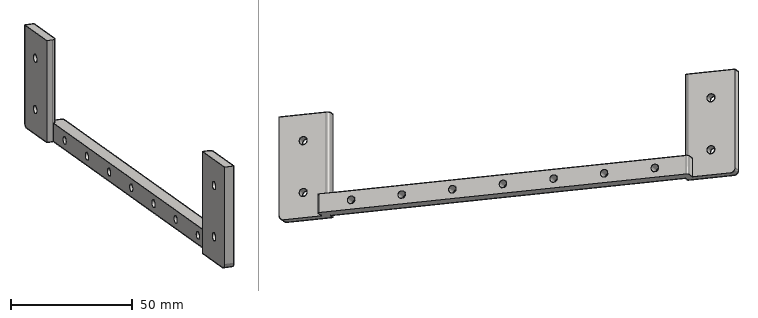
import cadquery as cq

length = 199.8
depth = 9.0
height = 44.2

plate_width = 22.2
plate_thickness = 4.2
plate_corner_radius = 2.0
plate_edge_radius = 1.5
plate_hole_diameter = 3.4
plate_hole_offset = 89.3
plate_lower_hole_height = 10.8

bar_length = 162.5
bar_thickness = 6.0
bar_height = 8.0
bar_corner_radius = 1.0
bar_hole_diameter = 3.2
bar_hole_count = 7

hole_pitch = 22.2


def make_plate():
    """Left end plate, rounded at its outer bottom corner and inner back edge."""
    plate = cq.Workplane("XY").box(plate_width, plate_thickness, height, centered=False)
    plate = plate.translate((-length / 2, 0, 0))
    plate = plate.edges("|Y and <X and <Z").fillet(plate_corner_radius)
    return plate.edges("|Z and >X and >Y").fillet(plate_edge_radius)


def make_bar():
    """Cross bar with its two upright back edges rounded."""
    bar = cq.Workplane("XY").box(bar_length, bar_thickness, bar_height, centered=(True, False, False))
    bar = bar.translate((0, depth - bar_thickness, 0))
    return bar.edges("|Z and >Y").fillet(bar_corner_radius)


def make_holes(points, diameter):
    """Cylinders along Y, running through the whole depth at (x, z) points."""
    return cq.Workplane("XZ").pushPoints(points).circle(diameter / 2).extrude(-depth)


left_plate = make_plate()
right_plate = left_plate.mirror("YZ")

plate_hole_points = [
    (side * plate_hole_offset, plate_lower_hole_height + row * hole_pitch)
    for side in (-1, 1)
    for row in range(2)
]
bar_hole_points = [
    ((i - (bar_hole_count - 1) / 2) * hole_pitch, bar_height / 2)
    for i in range(bar_hole_count)
]

result = (
    make_bar()
    .union(left_plate)
    .union(right_plate)
    .cut(make_holes(plate_hole_points, plate_hole_diameter))
    .cut(make_holes(bar_hole_points, bar_hole_diameter))
)